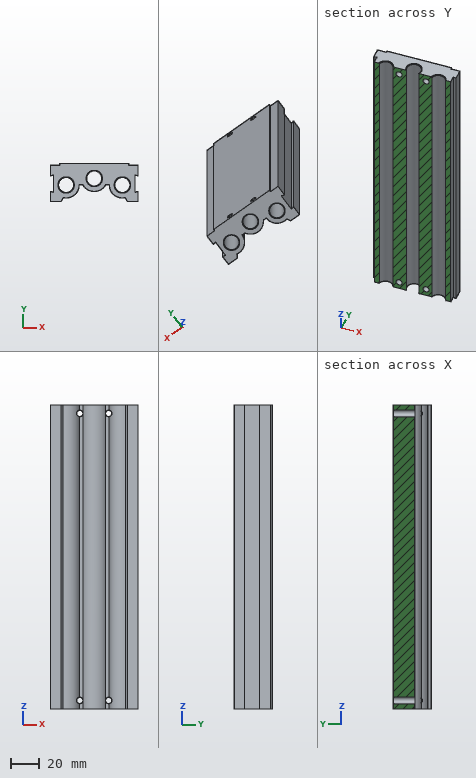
import cadquery as cq
import math

WIDTH = 61.0
DEPTH = 26.5
LENGTH = 211.0
HALF_WIDTH = WIDTH / 2

PAD_WIDTH = 48.0
PAD_HEIGHT = 1.2

CHANNEL_DIAMETER = 10.4
MOUTH_CHAMFER = 0.5
WALL_RADIUS = 9.1
SIDE_CHANNEL_X = 19.5
SIDE_CHANNEL_Y = 11.5
CENTRE_CHANNEL_Y = 16.0

VALLEY_Y = SIDE_CHANNEL_Y

FOOT_ROOT_X = 21.5
FOOT_TIP_X = 22.9

SLOT_DEPTH = 2.2
SLOT_MOUTH_WIDTH = 10.6
SLOT_FLOOR_WIDTH = 11.7
SLOT_CENTRE_Y = 12.4

MOUNT_DIAMETER = 4.3
MOUNT_X = 10.0
MOUNT_END_DISTANCE = 6.0


def wall_offset(distance):
    """Other leg of the right triangle whose hypotenuse is the wall radius."""
    return math.sqrt(WALL_RADIUS**2 - distance**2)


def half_profile():
    """Right half of the cross-section, closed along the Y axis."""
    centre_wall_x = wall_offset(CENTRE_CHANNEL_Y - VALLEY_Y)
    side_wall_x = SIDE_CHANNEL_X - WALL_RADIUS
    foot_root_y = SIDE_CHANNEL_Y - wall_offset(FOOT_ROOT_X - SIDE_CHANNEL_X)

    centre_angle = math.atan2(VALLEY_Y - CENTRE_CHANNEL_Y, centre_wall_x)
    centre_mid_angle = (centre_angle - math.pi / 2) / 2
    centre_mid = (
        WALL_RADIUS * math.cos(centre_mid_angle),
        CENTRE_CHANNEL_Y + WALL_RADIUS * math.sin(centre_mid_angle),
    )
    diagonal = WALL_RADIUS * math.sqrt(0.5)
    side_mid = (SIDE_CHANNEL_X - diagonal, SIDE_CHANNEL_Y - diagonal)

    shoulder_y = DEPTH - PAD_HEIGHT
    return (
        cq.Workplane("XY")
        .moveTo(0, DEPTH)
        .lineTo(0, CENTRE_CHANNEL_Y - WALL_RADIUS)
        .threePointArc(centre_mid, (centre_wall_x, VALLEY_Y))
        .lineTo(side_wall_x, VALLEY_Y)
        .threePointArc(side_mid, (FOOT_ROOT_X, foot_root_y))
        .lineTo(FOOT_TIP_X, 0)
        .lineTo(HALF_WIDTH, 0)
        .lineTo(HALF_WIDTH, shoulder_y)
        .lineTo(PAD_WIDTH / 2, shoulder_y)
        .lineTo(PAD_WIDTH / 2, DEPTH)
        .close()
    )


def body():
    """Full extrusion, made from one half and its mirror image."""
    half = half_profile().extrude(LENGTH)
    return half.union(half.mirror("YZ")).clean()


def channels():
    """Three round channels running the whole length, chamfered at both mouths."""
    radius = CHANNEL_DIAMETER / 2
    mouth_radius = radius + MOUTH_CHAMFER
    channel = (
        cq.Workplane("XZ")
        .moveTo(0, 0)
        .lineTo(mouth_radius, 0)
        .lineTo(radius, MOUTH_CHAMFER)
        .lineTo(radius, LENGTH - MOUTH_CHAMFER)
        .lineTo(mouth_radius, LENGTH)
        .lineTo(0, LENGTH)
        .close()
        .revolve(360, (0, 0), (0, 1))
    )
    centres = [
        (-SIDE_CHANNEL_X, SIDE_CHANNEL_Y),
        (0, CENTRE_CHANNEL_Y),
        (SIDE_CHANNEL_X, SIDE_CHANNEL_Y),
    ]
    cutter = cq.Workplane("XY")
    for x, y in centres:
        cutter = cutter.add(channel.translate((x, y, 0)))
    return cutter.combine()


def side_slot(side):
    """Dovetail slot along one narrow side; side is -1 for -X and +1 for +X."""
    mouth_x = side * HALF_WIDTH
    floor_x = side * (HALF_WIDTH - SLOT_DEPTH)
    outline = [
        (mouth_x, SLOT_CENTRE_Y - SLOT_MOUTH_WIDTH / 2),
        (mouth_x, SLOT_CENTRE_Y + SLOT_MOUTH_WIDTH / 2),
        (floor_x, SLOT_CENTRE_Y + SLOT_FLOOR_WIDTH / 2),
        (floor_x, SLOT_CENTRE_Y - SLOT_FLOOR_WIDTH / 2),
    ]
    return cq.Workplane("XY").polyline(outline).close().extrude(LENGTH)


def mounting_holes():
    """Four holes along Y, from the valleys through the back face."""
    centres = [
        (x, z)
        for x in (-MOUNT_X, MOUNT_X)
        for z in (MOUNT_END_DISTANCE, LENGTH - MOUNT_END_DISTANCE)
    ]
    return cq.Workplane("XZ").pushPoints(centres).circle(MOUNT_DIAMETER / 2).extrude(-DEPTH)


result = body().cut(channels()).cut(mounting_holes())
for slot_side in (-1, 1):
    result = result.cut(side_slot(slot_side))